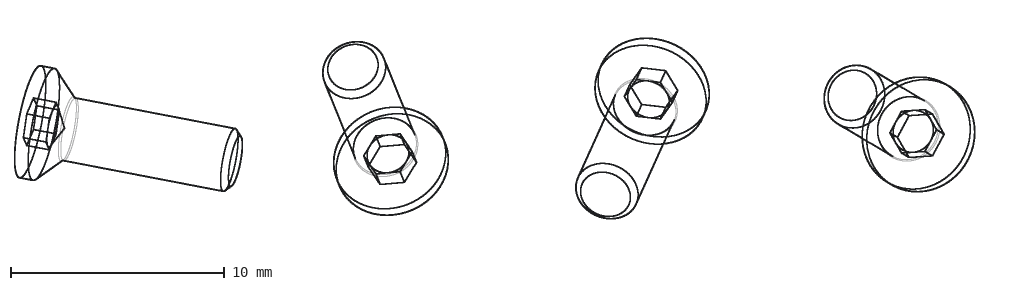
import cadquery as cq
import math

length = 10.0
head_radius = 5.35 / 2
rim_thickness = 0.67
shank_radius = 1.5
neck_fillet = 0.15
tip_chamfer = 0.3
socket_flats = 2.0
socket_depth = 1.1
socket_cone_angle = 120.0

cone_end = rim_thickness + head_radius - shank_radius

neck_tangent = neck_fillet * math.tan(math.radians(45 / 2))
neck_cone_offset = neck_tangent * math.sin(math.radians(45))
neck_center = (cone_end + neck_tangent, shank_radius + neck_fillet)
neck_mid_angle = math.radians(270 - 45 / 2)
neck_mid = (
    neck_center[0] + neck_fillet * math.cos(neck_mid_angle),
    neck_center[1] + neck_fillet * math.sin(neck_mid_angle),
)


def make_body():
    """Revolve the half profile of head, neck, shank and chamfered tip about X."""
    return (
        cq.Workplane("XY")
        .lineTo(0, head_radius)
        .lineTo(rim_thickness, head_radius)
        .lineTo(cone_end - neck_cone_offset, shank_radius + neck_cone_offset)
        .threePointArc(neck_mid, (cone_end + neck_tangent, shank_radius))
        .lineTo(length - tip_chamfer, shank_radius)
        .lineTo(length, shank_radius - tip_chamfer)
        .lineTo(length, 0)
        .close()
        .revolve(360, (0, 0, 0), (1, 0, 0))
    )


def make_socket():
    """Hexagon with corners on the Y axis, ending in a drill-point cone."""
    corner_diameter = socket_flats / math.cos(math.radians(30))
    hexagon = cq.Workplane("YZ").polygon(6, corner_diameter).extrude(socket_depth)
    cone_radius = socket_flats / 2
    cone_height = cone_radius / math.tan(math.radians(socket_cone_angle / 2))
    cone = cq.Solid.makeCone(
        cone_radius, 0, cone_height, cq.Vector(socket_depth, 0, 0), cq.Vector(1, 0, 0)
    )
    return hexagon.union(cq.Workplane(cone))


result = make_body().cut(make_socket())